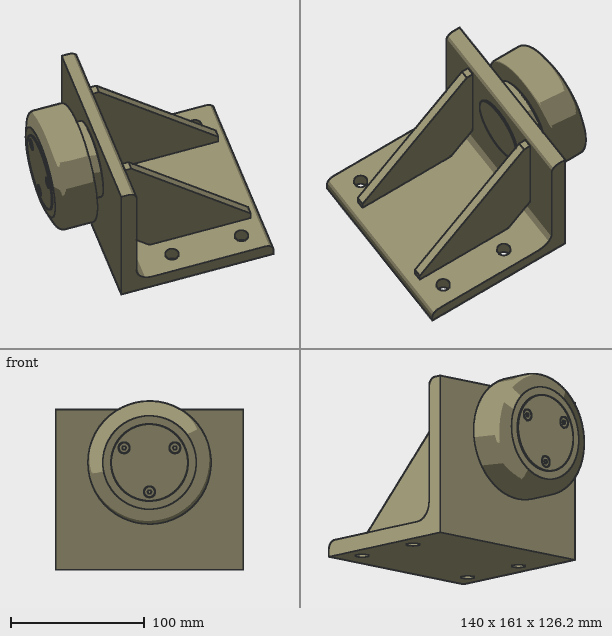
import cadquery as cq
import math

bracket_width = 140.0
leg_length = 120.0
leg_thickness = 12.0
edge_radius = 6.5
corner_radius = 12.9

rib_thickness = 6.5
rib_center_x = 38.0
rib_reach = 111.7
rib_tip_offset = 17.5
rib_corner_cut = 31.9

hole_diameter = 10.1
hole_x = 54.7
hole_rows_y = (45.0, 99.8)

roller_radius = 46.0
overall_height = 126.2
roller_center_z = overall_height - roller_radius
roller_rear = 10.1
roller_front = 40.2
rear_edge_radius = 1.6
shoulder_start = 33.2
cone_start = 36.9
cone_large_radius = 43.5
cone_small_radius = 35.0

collar_radius = 59.0 / 2
neck_radius = 55.2 / 2
collar_start = 0.5
collar_end = 9.0
axle_radius = 24.8
axle_protrusion = 1.1
axle_chamfer = 0.5

cap_radius = 57.8 / 2
overall_depth = 161.0
cap_front = overall_depth - leg_length
cap_chamfer = 0.3
screw_circle_radius = 21.9
screw_angles = (30, 150, 270)
counterbore_diameter = 8.5
counterbore_depth = 4.8
screw_head_diameter = 7.7
head_recess = 0.2
socket_corner_diameter = 3.0
socket_depth = 2.4


def extrude_side_profile(profile, width, center_x):
    """Extrude a YZ profile along X, centred on center_x."""
    return profile.extrude(width / 2, both=True).translate((center_x, 0, 0))


def make_angle():
    profile = (
        cq.Workplane("YZ")
        .polyline([
            (0, 0),
            (leg_length, 0),
            (leg_length, leg_thickness),
            (leg_thickness, leg_thickness),
            (leg_thickness, leg_length),
            (0, leg_length),
        ])
        .close()
    )
    angle = extrude_side_profile(profile, bracket_width, 0)
    inner_edge = cq.selectors.NearestToPointSelector((0, leg_thickness, leg_thickness))
    base_tip_edge = cq.selectors.NearestToPointSelector((0, leg_length, leg_thickness))
    wall_tip_edge = cq.selectors.NearestToPointSelector((0, leg_thickness, leg_length))
    angle = angle.edges(inner_edge).fillet(corner_radius)
    angle = angle.edges(base_tip_edge).fillet(edge_radius)
    angle = angle.edges(wall_tip_edge).fillet(edge_radius)
    holes = (
        cq.Workplane("XY")
        .pushPoints([(x, y) for x in (-hole_x, hole_x) for y in hole_rows_y])
        .circle(hole_diameter / 2)
        .extrude(leg_thickness)
    )
    return angle.cut(holes)


def make_rib(center_x):
    profile = (
        cq.Workplane("YZ")
        .polyline([
            (rib_corner_cut, leg_thickness),
            (rib_reach, leg_thickness),
            (rib_reach, rib_tip_offset),
            (rib_tip_offset, rib_reach),
            (leg_thickness, rib_reach),
            (leg_thickness, rib_corner_cut),
        ])
        .close()
    )
    return extrude_side_profile(profile, rib_thickness, center_x)


def make_roller():
    """Revolve axle, collar, roller and cap about the roller axis."""
    axle_back = -leg_thickness - axle_protrusion
    rear_arc_offset = rear_edge_radius * (1 - math.sqrt(0.5))
    shoulder_length = cone_start - shoulder_start
    shoulder_drop = roller_radius - cone_large_radius
    shoulder_radius = (shoulder_length**2 + shoulder_drop**2) / (2 * shoulder_drop)
    half_angle = math.asin(shoulder_length / shoulder_radius) / 2
    shoulder_mid = (
        roller_radius - shoulder_radius * (1 - math.cos(half_angle)),
        shoulder_start + shoulder_radius * math.sin(half_angle),
    )
    profile = (
        cq.Workplane("XY")
        .moveTo(0, axle_back)
        .lineTo(axle_radius - axle_chamfer, axle_back)
        .lineTo(axle_radius, axle_back + axle_chamfer)
        .lineTo(axle_radius, 0)
        .lineTo(neck_radius, 0)
        .lineTo(neck_radius, collar_start)
        .lineTo(collar_radius, collar_start)
        .lineTo(collar_radius, collar_end)
        .lineTo(neck_radius, collar_end)
        .lineTo(neck_radius, roller_rear)
        .lineTo(roller_radius - rear_edge_radius, roller_rear)
        .threePointArc(
            (roller_radius - rear_arc_offset, roller_rear + rear_arc_offset),
            (roller_radius, roller_rear + rear_edge_radius),
        )
        .lineTo(roller_radius, shoulder_start)
        .threePointArc(shoulder_mid, (cone_large_radius, cone_start))
        .lineTo(cone_small_radius, roller_front)
        .lineTo(cap_radius, roller_front)
        .lineTo(cap_radius, cap_front - cap_chamfer)
        .lineTo(cap_radius - cap_chamfer, cap_front)
        .lineTo(0, cap_front)
        .close()
    )
    roller = profile.revolve(360, (0, 0), (0, 1))
    roller = roller.rotate((0, 0, 0), (0, 0, 1), 180)
    return roller.translate((0, 0, roller_center_z))


def screw_plane(front):
    """Workplane facing forward with a point at each screw."""
    return (
        cq.Workplane("XZ", origin=(0, -front, 0))
        .pushPoints([
            (
                screw_circle_radius * math.cos(math.radians(angle)),
                roller_center_z + screw_circle_radius * math.sin(math.radians(angle)),
            )
            for angle in screw_angles
        ])
    )


def add_screws(body):
    head_front = cap_front - head_recess
    head_height = counterbore_depth - head_recess
    counterbores = screw_plane(cap_front).circle(counterbore_diameter / 2).extrude(-counterbore_depth)
    heads = screw_plane(head_front).circle(screw_head_diameter / 2).extrude(-head_height)
    sockets = screw_plane(head_front).polygon(6, socket_corner_diameter).extrude(-socket_depth)
    return body.cut(counterbores).union(heads).cut(sockets)


result = make_angle()
for rib_x in (-rib_center_x, rib_center_x):
    result = result.union(make_rib(rib_x))
result = result.union(make_roller())
result = add_screws(result)